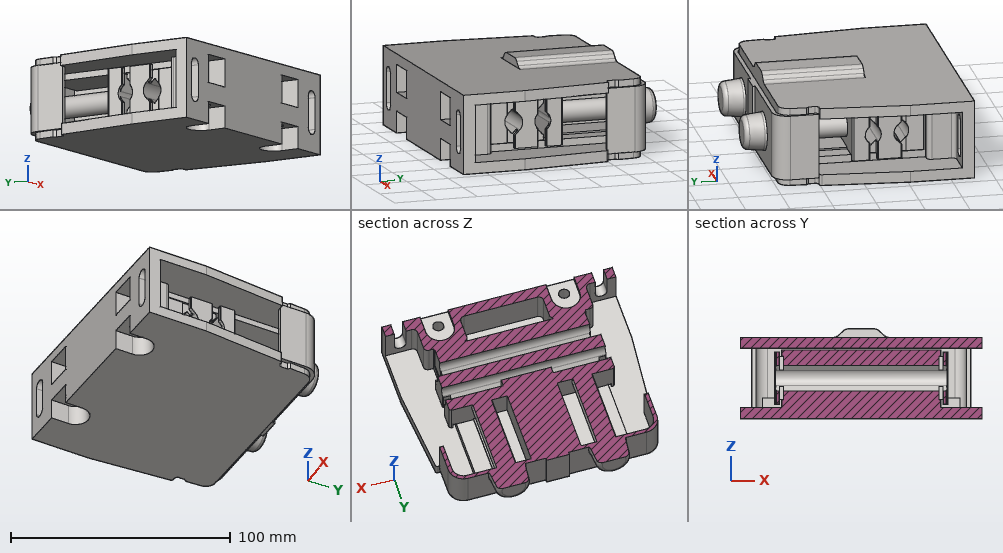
import cadquery as cq
import math

WIDTH = 110.0
HEIGHT = 37.0
MID_Z = HEIGHT / 2
STRAIGHT_LENGTH = 29.7
SHOULDER_Y = 71.1
SHOULDER_HALF_WIDTH = 51.4
BACK_Y = 89.0
CORNER_START_Y = 84.4
FLOOR_Z = 5.2
ROOF_Z = 32.0
FRONT_WALL = 5.7
FLOOR_CORNER_RADIUS = 1.0

NECK_HALF_WIDTH = 47.9
NECK_RADIUS = 1.6
NECK_END_Y = 75.6
LIP_Y = 76.8
LIP_HALF_WIDTH = 48.9
CORNER_HALF_WIDTH = 48.4
BACK_STRAIGHT_HALF = 43.8

COVER_HALF_WIDTH = 49.85
COVER_HALF_HEIGHT = 15.3
COVER_BACK_Y = 91.7
COVER_RADIUS = COVER_BACK_Y - CORNER_START_Y
COVER_WALL = 2.0
COVER_INNER_Y = COVER_BACK_Y - COVER_WALL
TAB_HALF_WIDTH = 5.5
TAB_BACK_Y = 92.9

KNOB_X = 23.9
KNOB_TIP_Y = 101.8
KNOB_FOOT_RADIUS = 9.0
KNOB_FOOT_LENGTH = 1.0
KNOB_BASE_RADIUS = 8.7
KNOB_TIP_RADIUS = 7.8
KNOB_ROUNDING = 2.4
SCREW_RADIUS = 5.0

TOTAL_HEIGHT = 41.0
RIB_FRONT_Y = 42.1
RIB_TOP_HALF_WIDTH = 5.5
RIB_RADIUS = 4.1
RIB_FLANK_ANGLE = math.radians(44)

POCKET_X = 30.0
POCKET_HALF_WIDTH = 6.6
POCKET_CENTER_Y = 8.7
POCKET_SHELF_BOTTOM = 10.2
POCKET_SHELF_TOP = 19.0
SHELF_HOLE_RADIUS = 2.5
SHELF_HOLE_Y = 6.4
POST_BACK_Y = 18.9
POST_HALF_WIDTH = 10.4
POST_RADIUS = 2.1
SLOT_X = 47.9
SLOT_WIDTH = 5.5
SLOT_HEIGHT = 20.2

CORE_HALF_WIDTH = 36.2
CORE_BACK_Y = 88.4
CORE_TOP = 31.3
CAVITY_HALF_HEIGHT = 9.85
END_RECESS_DEPTH = 0.4
END_RECESS_FRONT_Y = 19.7
WALL_RECESS_DEPTH = 0.8
WALL_RECESS_FRONT_Y = 27.9
CLAMP_CAVITY_FRONT_Y = 45.4
SILL_Y = 83.5
SILL_TOP = 9.4
SILL_HALF_WIDTH = 45.0
BED_HALF_WIDTH = 28.0
PARTITION_HALF_WIDTH = 12.0
PARTITION_FRONT_Y = 44.2
MOVING_JAW_HALF_WIDTH = 39.5
FIXED_JAW_HALF_WIDTH = 39.0
JAW_PLATE = 1.8
JAW_NECK_INSET = 2.0
JAW_HALF_HEIGHT = 11.95
MOVING_JAW_BACK_Y = 53.6
JAW_EDGE_CHAMFER = 0.4
MOVING_JAW_BACK_CHAMFER = 0.9
FIXED_JAW_FRONT_Y = 30.4
FIXED_JAW_BACK_Y = 41.8
WIRE_HALF_DEPTH = 3.75
WIRE_PEAK = 5.75
MOVING_WIRE_Y = 43.8
SIDES = (-1, 1)


def box(x0, x1, y0, y1, z0, z1):
    """Box between two opposite corners."""
    return cq.Workplane("XY").box(x1 - x0, y1 - y0, z1 - z0, centered=False).translate((x0, y0, z0))


def centered_box(half_x, y0, y1, z0, z1):
    """Box symmetric about X = 0."""
    return box(-half_x, half_x, y0, y1, z0, z1)


def housing_shell():
    half_plan = (
        cq.Workplane("XY")
        .lineTo(WIDTH / 2, 0)
        .lineTo(WIDTH / 2, STRAIGHT_LENGTH)
        .lineTo(SHOULDER_HALF_WIDTH, SHOULDER_Y)
        .lineTo(NECK_HALF_WIDTH + NECK_RADIUS, SHOULDER_Y)
        .radiusArc((NECK_HALF_WIDTH, SHOULDER_Y + NECK_RADIUS), NECK_RADIUS)
        .lineTo(NECK_HALF_WIDTH, NECK_END_Y)
        .lineTo(LIP_HALF_WIDTH, LIP_Y)
        .lineTo(CORNER_HALF_WIDTH, CORNER_START_Y)
        .tangentArcPoint((BACK_STRAIGHT_HALF, BACK_Y), relative=False)
        .lineTo(0, BACK_Y)
        .close()
        .extrude(HEIGHT)
    )
    shell = half_plan.union(half_plan.mirror("YZ"))
    shell = shell.cut(centered_box(WIDTH, FRONT_WALL, BACK_Y + 1, FLOOR_Z, ROOF_Z))
    for side in SIDES:
        corner = cq.selectors.NearestToPointSelector((side * SHOULDER_HALF_WIDTH, SHOULDER_Y, FLOOR_Z / 2))
        shell = shell.edges("|Z").edges(corner).fillet(FLOOR_CORNER_RADIUS)
    return shell


def top_rib():
    arc_x = RIB_RADIUS * math.sin(RIB_FLANK_ANGLE)
    arc_z = RIB_RADIUS * (1 - math.cos(RIB_FLANK_ANGLE))
    flank_z = TOTAL_HEIGHT - HEIGHT - 2 * arc_z
    flank_x = flank_z / math.tan(RIB_FLANK_ANGLE)
    upper_x = RIB_TOP_HALF_WIDTH + arc_x
    lower_x = upper_x + flank_x
    half = (
        cq.Workplane("XZ", origin=(0, BACK_Y, 0))
        .moveTo(0, HEIGHT)
        .lineTo(0, TOTAL_HEIGHT)
        .lineTo(RIB_TOP_HALF_WIDTH, TOTAL_HEIGHT)
        .radiusArc((upper_x, TOTAL_HEIGHT - arc_z), RIB_RADIUS)
        .lineTo(lower_x, HEIGHT + arc_z)
        .radiusArc((lower_x + arc_x, HEIGHT), -RIB_RADIUS)
        .close()
        .extrude(BACK_Y - RIB_FRONT_Y)
    )
    return half.union(half.mirror("YZ"))


def mounting_post(side):
    """Column behind a pair of pockets, blended into the front wall."""
    x = side * POCKET_X
    column = box(x - POST_HALF_WIDTH, x + POST_HALF_WIDTH, FRONT_WALL, POST_BACK_Y, FLOOR_Z, ROOF_Z)
    column = column.edges("|Z and >Y").fillet(POST_RADIUS)
    foot = box(
        x - POST_HALF_WIDTH - POST_RADIUS, x + POST_HALF_WIDTH + POST_RADIUS,
        FRONT_WALL, FRONT_WALL + POST_RADIUS, FLOOR_Z, ROOF_Z,
    )
    for end in SIDES:
        blend_x = x + end * (POST_HALF_WIDTH + POST_RADIUS)
        blend = (
            cq.Workplane("XY", origin=(blend_x, FRONT_WALL + POST_RADIUS, 0))
            .circle(POST_RADIUS)
            .extrude(HEIGHT)
        )
        foot = foot.cut(blend)
    return column.union(foot)


def pocket(side, z0, z1):
    """Pocket open to the front with a half-round back."""
    x = side * POCKET_X
    straight = box(x - POCKET_HALF_WIDTH, x + POCKET_HALF_WIDTH, 0, POCKET_CENTER_Y, z0, z1)
    back = cq.Workplane("XY", origin=(x, POCKET_CENTER_Y, z0)).circle(POCKET_HALF_WIDTH).extrude(z1 - z0)
    return straight.union(back)


def shelf_hole(side):
    return (
        cq.Workplane("XY", origin=(side * POCKET_X, SHELF_HOLE_Y, POCKET_SHELF_BOTTOM))
        .circle(SHELF_HOLE_RADIUS)
        .extrude(POCKET_SHELF_TOP - POCKET_SHELF_BOTTOM)
    )


def front_slot(side):
    return (
        cq.Workplane("XZ", origin=(side * SLOT_X, FRONT_WALL, MID_Z))
        .slot2D(SLOT_HEIGHT, SLOT_WIDTH, 90)
        .extrude(FRONT_WALL)
    )


def cover_block(inset):
    """Solid filling the cover outline, moved inwards by inset."""
    half = COVER_HALF_WIDTH - inset
    block = centered_box(
        half, SHOULDER_Y, COVER_BACK_Y - inset, MID_Z - COVER_HALF_HEIGHT, MID_Z + COVER_HALF_HEIGHT
    )
    return block.edges("|Z and >Y").fillet(COVER_RADIUS - inset)


def cover():
    tab = centered_box(
        TAB_HALF_WIDTH, COVER_INNER_Y, TAB_BACK_Y, MID_Z - COVER_HALF_HEIGHT, MID_Z + COVER_HALF_HEIGHT
    )
    return cover_block(0).cut(cover_block(COVER_WALL)).union(tab)


def knob(side):
    """Tapered round knob standing on the back of the cover."""
    foot_end_y = COVER_BACK_Y + KNOB_FOOT_LENGTH
    profile = [
        (0, COVER_INNER_Y),
        (KNOB_FOOT_RADIUS, COVER_INNER_Y),
        (KNOB_FOOT_RADIUS, COVER_BACK_Y),
        (KNOB_BASE_RADIUS, foot_end_y),
        (KNOB_TIP_RADIUS, KNOB_TIP_Y),
        (0, KNOB_TIP_Y),
    ]
    body = cq.Workplane("XY").polyline(profile).close().revolve(360, (0, 0, 0), (0, 1, 0))
    body = body.faces(">Y").edges().fillet(KNOB_ROUNDING)
    return body.translate((side * KNOB_X, 0, MID_Z))


def screw(side):
    return (
        cq.Workplane("XZ", origin=(side * KNOB_X, COVER_BACK_Y, MID_Z))
        .circle(SCREW_RADIUS)
        .extrude(COVER_BACK_Y - MOVING_JAW_BACK_Y)
    )


def wire_opening(center_y):
    """Opening through the whole core: 45 degree flanks blended by arcs at the Y ends."""
    diagonal = math.sqrt(2)
    radius = (WIRE_PEAK - WIRE_HALF_DEPTH) / (diagonal - 1)
    tangent_z = radius / diagonal
    tangent_y = WIRE_PEAK - tangent_z
    return (
        cq.Workplane("YZ", origin=(0, center_y, MID_Z))
        .moveTo(0, WIRE_PEAK)
        .lineTo(tangent_y, tangent_z)
        .threePointArc((WIRE_HALF_DEPTH, 0), (tangent_y, -tangent_z))
        .lineTo(0, -WIRE_PEAK)
        .lineTo(-tangent_y, -tangent_z)
        .threePointArc((-WIRE_HALF_DEPTH, 0), (-tangent_y, tangent_z))
        .close()
        .extrude(WIDTH / 2, both=True)
    )


def wire_seat():
    """Flanks of the wire opening carried on to the front of the clamp cavity."""
    mouth = WIRE_PEAK + CLAMP_CAVITY_FRONT_Y - MOVING_WIRE_Y
    points = [
        (MOVING_WIRE_Y, MID_Z - WIRE_PEAK),
        (CLAMP_CAVITY_FRONT_Y, MID_Z - mouth),
        (CLAMP_CAVITY_FRONT_Y, MID_Z + mouth),
        (MOVING_WIRE_Y, MID_Z + WIRE_PEAK),
    ]
    return cq.Workplane("YZ").polyline(points).close().extrude(WIDTH / 2, both=True)


def jaw(half_width, front_y, back_y, back_chamfer):
    """Block inside the core with a taller plate on each outer end."""
    half_neck = half_width - JAW_PLATE
    bottom = MID_Z - JAW_HALF_HEIGHT
    top = MID_Z + JAW_HALF_HEIGHT
    plates = centered_box(half_width, front_y, back_y, bottom, top)
    plates = plates.edges("|Z and <Y").chamfer(JAW_EDGE_CHAMFER)
    plates = plates.edges("|Z and >Y").chamfer(back_chamfer)
    plates = plates.cut(centered_box(half_neck, front_y, back_y, bottom, top))
    neck = centered_box(
        half_neck, front_y + JAW_NECK_INSET, back_y,
        MID_Z - CAVITY_HALF_HEIGHT, MID_Z + CAVITY_HALF_HEIGHT,
    )
    return plates.union(neck)


def clamp_core():
    cavity_bottom = MID_Z - CAVITY_HALF_HEIGHT
    cavity_top = MID_Z + CAVITY_HALF_HEIGHT
    core = centered_box(CORE_HALF_WIDTH, POST_BACK_Y, CORE_BACK_Y, FLOOR_Z, CORE_TOP)
    for depth, front_y in (
        (END_RECESS_DEPTH, END_RECESS_FRONT_Y),
        (WALL_RECESS_DEPTH, WALL_RECESS_FRONT_Y),
    ):
        band = centered_box(CORE_HALF_WIDTH, front_y, CLAMP_CAVITY_FRONT_Y, cavity_bottom, cavity_top)
        kept = centered_box(
            CORE_HALF_WIDTH - depth, front_y, CLAMP_CAVITY_FRONT_Y, cavity_bottom, cavity_top
        )
        core = core.cut(band.cut(kept))
    core = core.cut(
        centered_box(CORE_HALF_WIDTH, CLAMP_CAVITY_FRONT_Y, CORE_BACK_Y, cavity_bottom, cavity_top)
    )
    core = core.cut(wire_seat())

    moving_jaw = jaw(
        MOVING_JAW_HALF_WIDTH, CLAMP_CAVITY_FRONT_Y, MOVING_JAW_BACK_Y, MOVING_JAW_BACK_CHAMFER
    )
    fixed_jaw = jaw(FIXED_JAW_HALF_WIDTH, FIXED_JAW_FRONT_Y, FIXED_JAW_BACK_Y, JAW_EDGE_CHAMFER)
    core = core.union(moving_jaw).union(fixed_jaw)
    core = core.cut(wire_opening(FIXED_JAW_FRONT_Y)).cut(wire_opening(MOVING_WIRE_Y))

    bed = centered_box(BED_HALF_WIDTH, MOVING_JAW_BACK_Y, SILL_Y, FLOOR_Z, SILL_TOP)
    sill = centered_box(SILL_HALF_WIDTH, SILL_Y, COVER_INNER_Y, FLOOR_Z, SILL_TOP)
    partition = centered_box(PARTITION_HALF_WIDTH, PARTITION_FRONT_Y, COVER_INNER_Y, FLOOR_Z, ROOF_Z)
    return core.union(bed).union(sill).union(partition)


result = housing_shell().union(top_rib())
for side in SIDES:
    result = result.union(mounting_post(side))
    result = result.cut(pocket(side, 0, POCKET_SHELF_BOTTOM))
    result = result.cut(pocket(side, POCKET_SHELF_TOP, ROOF_Z))
    result = result.cut(shelf_hole(side))
    result = result.cut(front_slot(side))
result = result.union(clamp_core()).union(cover())
for side in SIDES:
    result = result.union(knob(side)).union(screw(side))